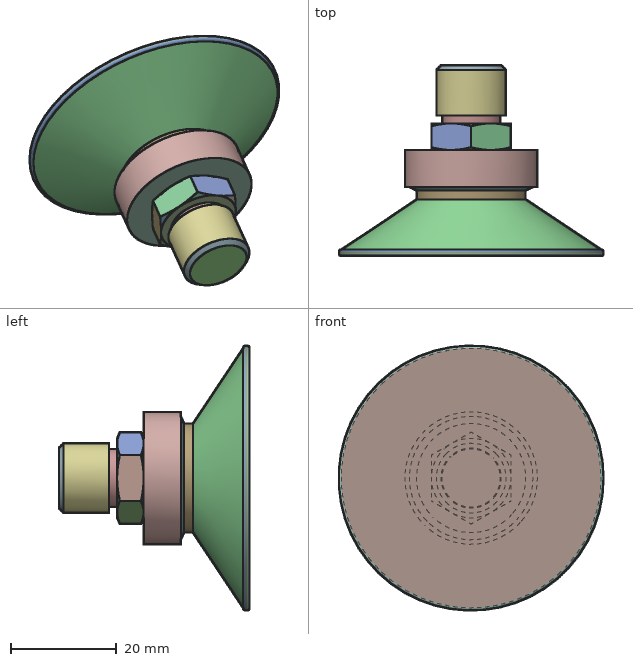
import cadquery as cq
import math


rim_radius = 50 / 2
rim_fillet = 0.5
rim_thickness = 1.25
cup_neck_radius = 20.6 / 2
cone_end = 10.7

collar_radius = 25 / 2
collar_start = 13.0
collar_end = 20.0
collar_bevel_radius = 11.65
collar_bevel_length = 0.65

hex_across_flats = 15.0
hex_height = 5.0
hex_bevel_radius = hex_across_flats / 2
hex_bevel_depth = 0.5

stud_radius = 13.15 / 2
stud_neck_radius = 11 / 2
stud_neck_length = 1.5
stud_chamfer = 0.9
total_length = 36.0

hex_end = collar_end + hex_height
stud_start = hex_end + stud_neck_length
hex_corner_radius = hex_across_flats / 2 / math.cos(math.radians(30))
rim_edge_radius = rim_radius - rim_fillet
rim_back_fillet_start = rim_thickness - rim_fillet
fillet_mid = rim_fillet * math.sin(math.radians(45))


def make_turned_body():
    """Cup, collar and stud as one revolved half-section (X = radius)."""
    section = (
        cq.Workplane("XY")
        .moveTo(0, 0)
        .lineTo(rim_edge_radius, 0)
        .threePointArc(
            (rim_edge_radius + fillet_mid, rim_fillet - fillet_mid),
            (rim_radius, rim_fillet),
        )
        .lineTo(rim_radius, rim_back_fillet_start)
        .threePointArc(
            (rim_edge_radius + fillet_mid, rim_back_fillet_start + fillet_mid),
            (rim_edge_radius, rim_thickness),
        )
        .lineTo(cup_neck_radius, cone_end)
        .lineTo(cup_neck_radius, collar_start - collar_bevel_length)
        .lineTo(collar_bevel_radius, collar_start)
        .lineTo(collar_radius, collar_start)
        .lineTo(collar_radius, collar_end)
        .lineTo(stud_neck_radius, collar_end)
        .lineTo(stud_neck_radius, stud_start)
        .lineTo(stud_radius, stud_start)
        .lineTo(stud_radius, total_length - stud_chamfer)
        .lineTo(stud_radius - stud_chamfer, total_length)
        .lineTo(0, total_length)
        .close()
    )
    return section.revolve(360, (0, 0, 0), (0, 1, 0))


def make_hex_nut():
    """Hexagon with flats facing +X and -X, its corners bevelled at both ends."""
    corners = [
        (
            hex_corner_radius * math.sin(math.radians(60 * i)),
            hex_corner_radius * math.cos(math.radians(60 * i)),
        )
        for i in range(6)
    ]
    prism = (
        cq.Workplane("XZ", origin=(0, collar_end, 0))
        .polyline(corners)
        .close()
        .extrude(-hex_height)
    )
    bevel_envelope = (
        cq.Workplane("XY")
        .moveTo(0, collar_end)
        .lineTo(hex_bevel_radius, collar_end)
        .lineTo(hex_corner_radius, collar_end + hex_bevel_depth)
        .lineTo(hex_corner_radius, hex_end - hex_bevel_depth)
        .lineTo(hex_bevel_radius, hex_end)
        .lineTo(0, hex_end)
        .close()
        .revolve(360, (0, 0, 0), (0, 1, 0))
    )
    return prism.intersect(bevel_envelope)


result = make_turned_body().union(make_hex_nut())